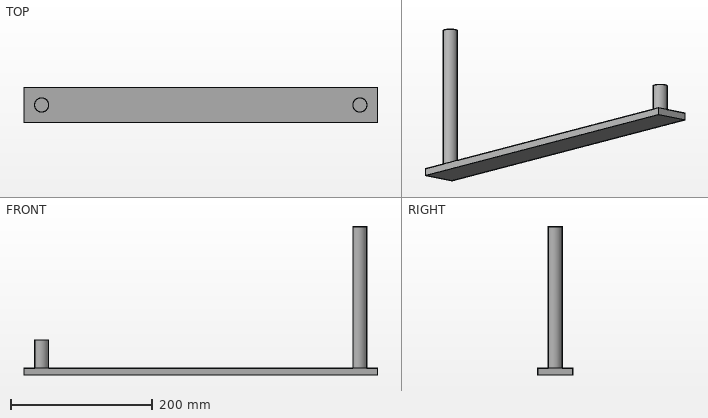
import cadquery as cq

bar_length = 500.0
bar_width = 50.0
bar_thickness = 10.0

post_diameter = 20.0
post_end_distance = 25.0
short_post_height = 40.0
tall_post_height = 200.0

post_offset = bar_length / 2 - post_end_distance


def make_bar():
    """Flat bar centred on the origin in X and Y, resting on Z = 0."""
    return cq.Workplane("XY").box(bar_length, bar_width, bar_thickness, centered=(True, True, False))


def make_post(x_position, height):
    """Upright round post rising from the top face of the bar."""
    top_plane = cq.Workplane("XY").workplane(offset=bar_thickness)
    return top_plane.center(x_position, 0).circle(post_diameter / 2).extrude(height)


short_post = make_post(-post_offset, short_post_height)
tall_post = make_post(post_offset, tall_post_height)

result = make_bar().union(short_post).union(tall_post)